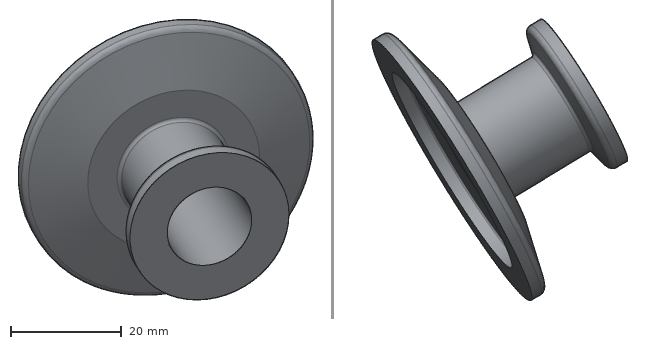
import cadquery as cq
import math

total_length = 28.0
large_radius = 27.5
small_radius = 15.0
tube_radius = 10.0
bore_radius = 8.0

cone_angle = math.radians(15)
large_flange_thickness = 6.0
large_cone_inner_radius = 16.2
small_edge_thickness = 3.2
rim_round = 1.25
root_round = 0.65

seat_radius = 20.6
seat_depth = 2.6
seat_floor_round = 0.35


def cone_rise(outer, inner):
    """Axial growth of a clamping cone between two radii."""
    return (outer - inner) * math.tan(cone_angle)


large_rim_x = large_flange_thickness - cone_rise(large_radius, large_cone_inner_radius)
small_rim_x = total_length - small_edge_thickness
small_root_x = small_rim_x - cone_rise(small_radius, tube_radius)

outline = [
    (0, 0),
    (0, large_radius),
    (large_rim_x, large_radius),
    (large_flange_thickness, large_cone_inner_radius),
    (large_flange_thickness, tube_radius),
    (small_root_x, tube_radius),
    (small_rim_x, small_radius),
    (total_length, small_radius),
    (total_length, 0),
]
body = cq.Workplane("XY").polyline(outline).close().revolve(360, (0, 0, 0), (1, 0, 0))


def circle_edge(x, radius):
    """Selector for the circular edge at one axial place and radius."""
    tol = 0.005
    return cq.selectors.BoxSelector(
        (x - tol, -radius - tol, -radius - tol),
        (x + tol, radius + tol, radius + tol),
        boundingbox=True,
    )


for rim_x, radius in [(large_rim_x, large_radius), (small_rim_x, small_radius)]:
    body = body.edges(circle_edge(rim_x, radius)).fillet(rim_round)
for root_x in (large_flange_thickness, small_root_x):
    body = body.edges(circle_edge(root_x, tube_radius)).fillet(root_round)

seat = cq.Workplane("YZ").circle(seat_radius).extrude(seat_depth).faces(">X").edges().fillet(seat_floor_round)
bore = cq.Workplane("YZ").circle(bore_radius).extrude(total_length)
result = body.cut(seat).cut(bore)